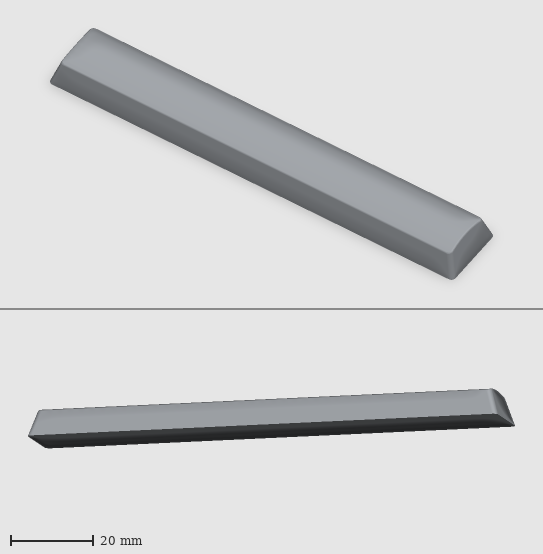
import cadquery as cq
import math

length = 118.31
width = 18.46
height = 7.5

draft_angle = 17.5
corner_radius = 1.3
crown_radius = 25.0
top_edge_radius = 0.5


def drafted_block():
    """Rectangular block whose four walls lean inward, with rounded corners."""
    block = cq.Workplane("XY").rect(length, width).extrude(height, taper=draft_angle)
    return block.edges("not(#Z)").fillet(corner_radius)


def crown_envelope():
    """Full-length bar whose domed upper face peaks at the cap height."""
    half_width = width / 2
    crown_drop = crown_radius - math.sqrt(crown_radius**2 - half_width**2)
    shoulder_height = height - crown_drop
    return (
        cq.Workplane("YZ")
        .moveTo(-half_width, 0)
        .lineTo(-half_width, shoulder_height)
        .threePointArc((0, height), (half_width, shoulder_height))
        .lineTo(half_width, 0)
        .close()
        .extrude(length / 2, both=True)
    )


def round_top_edge(cap):
    """Round the whole rim of the domed top face."""
    return cap.faces(">Z").edges().fillet(top_edge_radius)


result = round_top_edge(drafted_block().intersect(crown_envelope()))